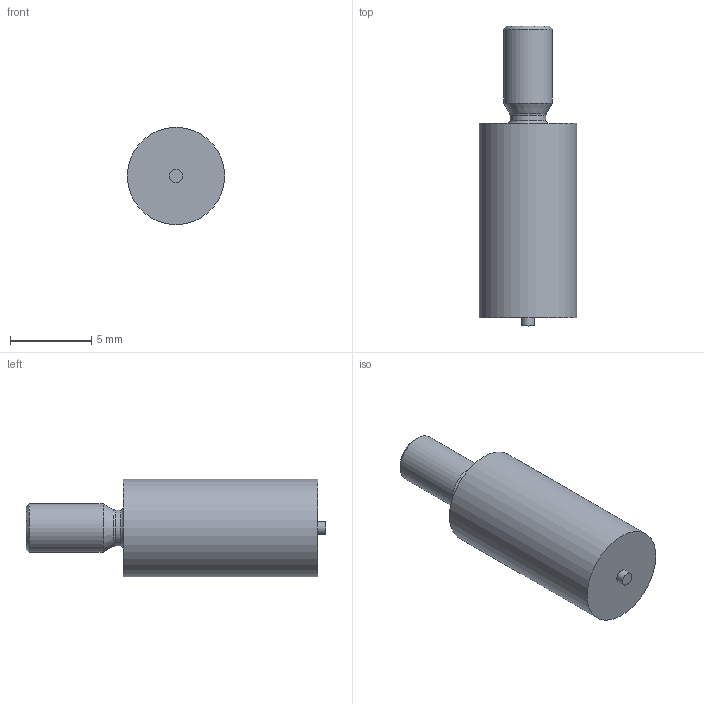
import cadquery as cq
import math

BODY_DIAMETER = 6.0
BODY_LENGTH = 12.0

TIP_DIAMETER = 0.8
TIP_LENGTH = 0.5

SHANK_DIAMETER = 3.0
SHANK_LENGTH = 6.0
SHANK_CHAMFER = 0.2

UNDERCUT_DIAMETER = 2.2
UNDERCUT_LENGTH = 1.25
UNDERCUT_FILLET = 0.2
RUNOUT_ANGLE = math.radians(30)

SHOULDER_Y = BODY_LENGTH
SHANK_END_Y = SHOULDER_Y + SHANK_LENGTH
UNDERCUT_END_Y = SHOULDER_Y + UNDERCUT_LENGTH

BODY_RADIUS = BODY_DIAMETER / 2
TIP_RADIUS = TIP_DIAMETER / 2
SHANK_RADIUS = SHANK_DIAMETER / 2
UNDERCUT_RADIUS = UNDERCUT_DIAMETER / 2


def fillet_point(center_y, angle):
    """Point on an undercut fillet, at an angle from the groove floor toward +Y."""
    radius = UNDERCUT_RADIUS + UNDERCUT_FILLET * (1 - math.cos(angle))
    return radius, center_y + UNDERCUT_FILLET * math.sin(angle)


def make_pin():
    """Revolve the half profile, given as (radius, Y) points, about the Y axis."""
    shoulder_fillet_y = SHOULDER_Y + UNDERCUT_FILLET
    shoulder_fillet_start = fillet_point(shoulder_fillet_y, -math.pi / 2)
    shoulder_fillet_middle = fillet_point(shoulder_fillet_y, -math.pi / 4)

    runout_fillet_rise = UNDERCUT_FILLET * (1 - math.cos(RUNOUT_ANGLE))
    cone_rise = SHANK_RADIUS - UNDERCUT_RADIUS - runout_fillet_rise
    cone_length = cone_rise / math.tan(RUNOUT_ANGLE)
    runout_fillet_y = UNDERCUT_END_Y - cone_length - UNDERCUT_FILLET * math.sin(RUNOUT_ANGLE)

    return (
        cq.Workplane("XY")
        .moveTo(0, -TIP_LENGTH)
        .lineTo(TIP_RADIUS, -TIP_LENGTH)
        .lineTo(TIP_RADIUS, 0)
        .lineTo(BODY_RADIUS, 0)
        .lineTo(BODY_RADIUS, SHOULDER_Y)
        .lineTo(*shoulder_fillet_start)
        .threePointArc(shoulder_fillet_middle, (UNDERCUT_RADIUS, shoulder_fillet_y))
        .lineTo(UNDERCUT_RADIUS, runout_fillet_y)
        .threePointArc(
            fillet_point(runout_fillet_y, RUNOUT_ANGLE / 2),
            fillet_point(runout_fillet_y, RUNOUT_ANGLE),
        )
        .lineTo(SHANK_RADIUS, UNDERCUT_END_Y)
        .lineTo(SHANK_RADIUS, SHANK_END_Y - SHANK_CHAMFER)
        .lineTo(SHANK_RADIUS - SHANK_CHAMFER, SHANK_END_Y)
        .lineTo(0, SHANK_END_Y)
        .close()
        .revolve(360, (0, 0, 0), (0, 1, 0))
    )


result = make_pin()